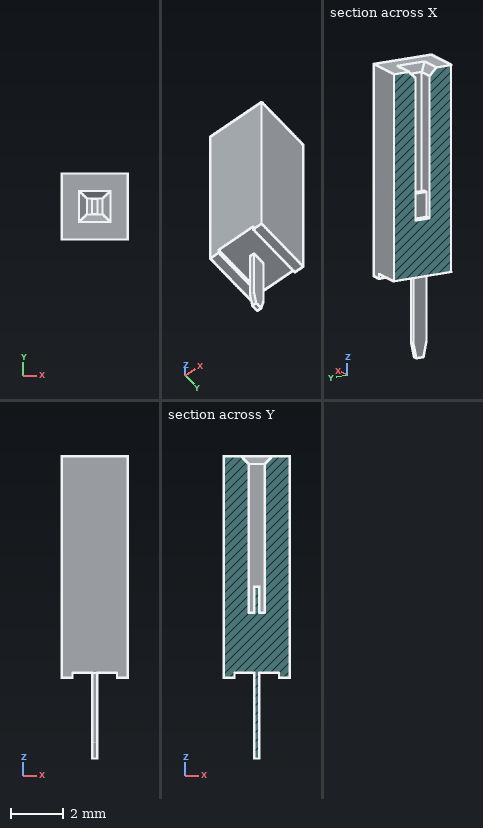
import cadquery as cq

total_height = 11.6
housing_side = 2.54
housing_height = 8.5

channel_width = 1.7
channel_depth = 0.2

mouth_side = 1.2
bore_side = 0.6
funnel_depth = 0.3
bore_depth = 6.0

pin_thickness = 0.2
pin_width = 0.58
pin_rise = 1.0
tip_width = 0.31
tip_length = 0.63

housing_bottom = total_height - housing_height
bore_floor = total_height - bore_depth
pin_top = bore_floor + pin_rise


def make_housing():
    """Square block standing on two feet left by a channel that runs along Y."""
    block = (
        cq.Workplane("XY")
        .workplane(offset=housing_bottom)
        .rect(housing_side, housing_side)
        .extrude(housing_height)
    )
    channel = (
        cq.Workplane("XY")
        .workplane(offset=housing_bottom)
        .rect(channel_width, housing_side)
        .extrude(channel_depth)
    )
    return block.cut(channel)


def make_socket():
    """Blind square bore with a funnel mouth at the top face."""
    bore = (
        cq.Workplane("XY")
        .workplane(offset=bore_floor)
        .rect(bore_side, bore_side)
        .extrude(bore_depth)
    )
    funnel = (
        cq.Workplane("XY")
        .workplane(offset=total_height - funnel_depth)
        .rect(bore_side, bore_side)
        .workplane(offset=funnel_depth)
        .rect(mouth_side, mouth_side)
        .loft(ruled=True)
    )
    return bore.union(funnel)


def make_pin():
    """Flat pin in the YZ plane, narrowing in Y to a blunt tip."""
    half_width = pin_width / 2
    half_tip = tip_width / 2
    outline = [
        (-half_tip, 0),
        (half_tip, 0),
        (half_width, tip_length),
        (half_width, pin_top),
        (-half_width, pin_top),
        (-half_width, tip_length),
    ]
    return cq.Workplane("YZ").polyline(outline).close().extrude(pin_thickness / 2, both=True)


result = make_housing().cut(make_socket()).union(make_pin())